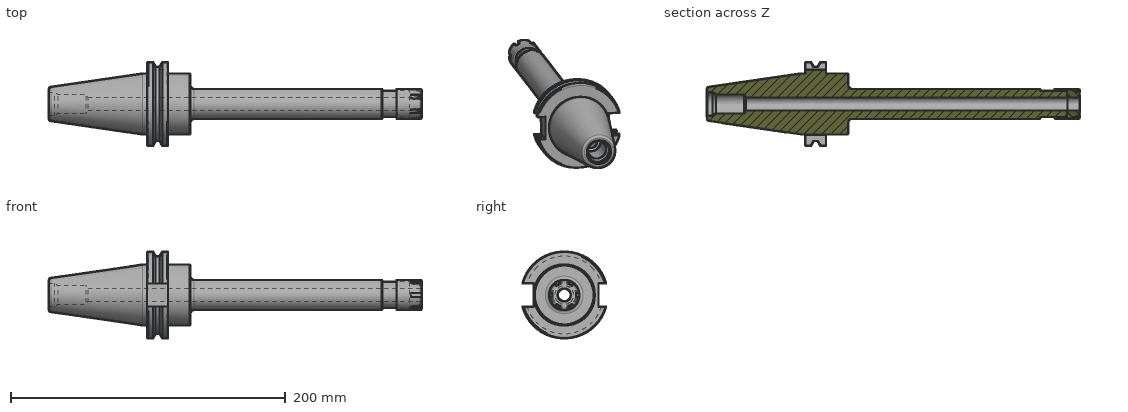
import cadquery as cq
import math

GAUGE_X = 68.5
FLANGE_START_X = 71.7
FLANGE_END_X = 86.9
SHOULDER_X = 103.2
SHANK_END_X = 243.0
NUT_START_X = 253.0
NUT_END_X = 271.5

TAPER_RATIO = 7 / 24
GAUGE_DIA = 44.5
SMALL_END_DIA = GAUGE_DIA - GAUGE_X * TAPER_RATIO
SMALL_END_FILLET = 2.0
FLANGE_DIA = 63.2
FLANGE_FILLET = 0.8
SHOULDER_DIA = 44.5
SHOULDER_CHAMFER = 0.8
SHANK_DIA = 22.0
SHANK_FILLET = 2.7
SHANK_CHAMFER = 0.8
NOSE_DIA = 19.3
NOSE_DEPTH = 9.5

GROOVE_X = 79.3
GROOVE_FLOOR_WIDTH = 3.0
GROOVE_DEPTH = 3.3
GROOVE_HALF_ANGLE = 30
SLOT_WIDTH = 16.8
NEAR_SLOT_FLOOR = 22.5
FAR_SLOT_FLOOR = 25.0

BORE_DIA = 9.2
MOUTH_DIA = 16.8
MOUTH_CHAMFER_DIA = 18.0
MOUTH_DEPTH = 4.0
SEAT_HALF_ANGLE = 30
THREAD_DIA = 13.5
THREAD_END_X = 27.1
DRILL_HALF_ANGLE = 59

NUT_DIA = 22.0
NUT_BACK_FILLET = 0.8
NUT_FRONT_FILLET = 1.4
WRENCH_SLOTS = 6
WRENCH_SLOT_WIDTH = 3.0
WRENCH_SLOT_LENGTH = 8.0
WRENCH_SLOT_DEPTH = 2.5


def cylinder(start_x, end_x, diameter):
    """Cylinder along X between two stations."""
    return cq.Workplane("YZ", origin=(start_x, 0, 0)).circle(diameter / 2).extrude(end_x - start_x)


def revolve_about_x(points):
    """Solid of revolution about X from a closed (x, radius) outline."""
    return cq.Workplane("XY").polyline(points).close().revolve(360, (0, 0, 0), (1, 0, 0))


def make_taper():
    cone = revolve_about_x([(0, 0), (0, SMALL_END_DIA / 2), (GAUGE_X, GAUGE_DIA / 2), (GAUGE_X, 0)])
    return cone.faces("<X").edges().fillet(SMALL_END_FILLET)


def make_flange():
    flange = cylinder(FLANGE_START_X, FLANGE_END_X, FLANGE_DIA)
    flange = flange.faces("<X or >X").edges().fillet(FLANGE_FILLET)
    return flange.cut(make_groove()).cut(make_driving_slots())


def make_groove():
    rim = FLANGE_DIA / 2
    floor = rim - GROOVE_DEPTH
    half_floor = GROOVE_FLOOR_WIDTH / 2
    half_mouth = half_floor + GROOVE_DEPTH * math.tan(math.radians(GROOVE_HALF_ANGLE))
    return revolve_about_x([
        (GROOVE_X - half_mouth, rim),
        (GROOVE_X - half_floor, floor),
        (GROOVE_X + half_floor, floor),
        (GROOVE_X + half_mouth, rim),
    ])


def make_driving_slots():
    """Two blocks that cut the flange, the deeper one on its -Y side."""
    thickness = FLANGE_END_X - FLANGE_START_X
    center_x = (FLANGE_START_X + FLANGE_END_X) / 2
    rim = FLANGE_DIA / 2
    slots = cq.Workplane("XY")
    for side, floor in [(-1, NEAR_SLOT_FLOOR), (1, FAR_SLOT_FLOOR)]:
        depth = rim - floor
        slot = cq.Workplane("XY").box(thickness, depth, SLOT_WIDTH)
        slots = slots.add(slot.translate((center_x, side * (floor + depth / 2), 0)))
    return slots.combine()


def make_shank():
    """Shoulder behind the flange, long shank and the thinner nose."""
    shoulder = cylinder(GAUGE_X, SHOULDER_X, SHOULDER_DIA)
    shoulder = shoulder.faces(">X").edges().chamfer(SHOULDER_CHAMFER)
    shank = cylinder(SHOULDER_X, SHANK_END_X, SHANK_DIA)
    shank = shank.faces(">X").edges().chamfer(SHANK_CHAMFER)
    nose = cylinder(SHANK_END_X, NUT_START_X + NOSE_DEPTH, NOSE_DIA)
    return shoulder.union(shank).union(nose).union(make_shank_fillet())


def make_shank_fillet():
    """Concave ring where the shank meets the shoulder face."""
    radius = SHANK_DIA / 2
    center = (SHOULDER_X + SHANK_FILLET, radius + SHANK_FILLET)
    diagonal = SHANK_FILLET * math.sqrt(0.5)
    return (
        cq.Workplane("XY")
        .moveTo(SHOULDER_X, 0)
        .lineTo(SHOULDER_X, center[1])
        .threePointArc((center[0] - diagonal, center[1] - diagonal), (center[0], radius))
        .lineTo(center[0], 0)
        .close()
        .revolve(360, (0, 0, 0), (1, 0, 0))
    )


def make_bore():
    """Stepped bore: chamfered mouth, conical seat, thread core with a drill-point end, through hole."""
    mouth = MOUTH_DIA / 2
    thread = THREAD_DIA / 2
    bore = BORE_DIA / 2
    chamfer = (MOUTH_CHAMFER_DIA - MOUTH_DIA) / 2
    drill_point = (thread - bore) / math.tan(math.radians(DRILL_HALF_ANGLE))
    seat = (mouth - thread) / math.tan(math.radians(SEAT_HALF_ANGLE))
    return revolve_about_x([
        (0, 0),
        (0, mouth + chamfer),
        (chamfer, mouth),
        (MOUTH_DEPTH, mouth),
        (MOUTH_DEPTH + seat, thread),
        (THREAD_END_X, thread),
        (THREAD_END_X + drill_point, bore),
        (NUT_END_X, bore),
        (NUT_END_X, 0),
    ])


def make_holder():
    """Tool holder with the threaded nose that enters the nut."""
    return make_taper().union(make_shank()).union(make_flange()).cut(make_bore())


def make_wrench_slot():
    """Wedge that deepens from the rim surface towards the front end of the nut."""
    rim = NUT_DIA / 2
    outline = [
        (NUT_END_X - WRENCH_SLOT_LENGTH, rim),
        (NUT_END_X, rim - WRENCH_SLOT_DEPTH),
        (NUT_END_X, rim + WRENCH_SLOT_DEPTH),
        (NUT_END_X - WRENCH_SLOT_LENGTH, rim + WRENCH_SLOT_DEPTH),
    ]
    return cq.Workplane("XY").polyline(outline).close().extrude(WRENCH_SLOT_WIDTH / 2, both=True)


def make_nut():
    """Clamping nut that sits over the nose, with wrench slots around its front rim."""
    nut = cylinder(NUT_START_X, NUT_END_X, NUT_DIA)
    nut = nut.faces("<X").edges().fillet(NUT_BACK_FILLET)
    nut = nut.faces(">X").edges().fillet(NUT_FRONT_FILLET)
    nut = nut.cut(cylinder(NUT_START_X, NUT_START_X + NOSE_DEPTH, NOSE_DIA))
    nut = nut.cut(cylinder(NUT_START_X, NUT_END_X, BORE_DIA))
    slot = make_wrench_slot()
    for index in range(WRENCH_SLOTS):
        nut = nut.cut(slot.rotate((0, 0, 0), (1, 0, 0), index * 360 / WRENCH_SLOTS))
    return nut


holder = make_holder()
nut = make_nut()

result = cq.Compound.makeCompound([holder.val(), nut.val()])